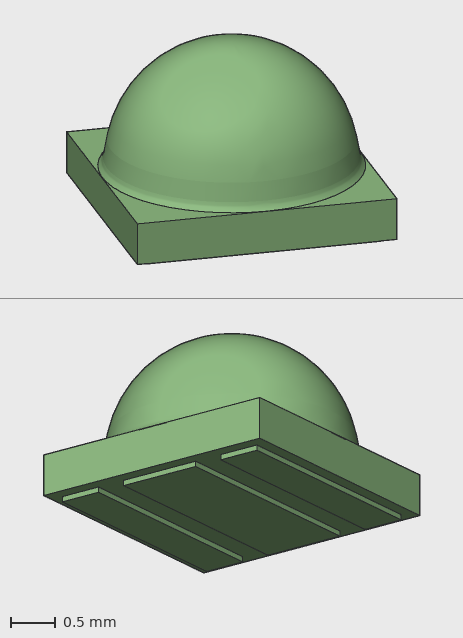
import cadquery as cq
import math

side = 3.0
total_height = 2.02

pad_thickness = 0.063
base_top = 0.55
pad_length = 2.7
pad_span = 2.7
outer_pad_width = 0.5
center_pad_width = 1.0

cap_bottom = 0.867
cap_bottom_radius = 1.395
cone_bottom = 0.65
foot_radius = 1.495

cap_height = total_height - cap_bottom
sphere_radius = (cap_bottom_radius**2 + cap_height**2) / (2 * cap_height)
sphere_center = total_height - sphere_radius

cone_slope = (cap_bottom - sphere_center) / cap_bottom_radius
cone_bottom_radius = cap_bottom_radius + cone_slope * (cap_bottom - cone_bottom)


def make_base():
    thickness = base_top - pad_thickness
    return cq.Workplane("XY", origin=(0, 0, pad_thickness)).rect(side, side).extrude(thickness)


def make_pad(center_x, width):
    return cq.Workplane("XY").center(center_x, 0).rect(width, pad_length).extrude(pad_thickness)


def make_lens():
    rim_angle = math.atan2(cap_bottom - sphere_center, cap_bottom_radius)
    middle_angle = (rim_angle + math.pi / 2) / 2
    arc_middle = (
        sphere_radius * math.cos(middle_angle),
        sphere_center + sphere_radius * math.sin(middle_angle),
    )
    profile = (
        cq.Workplane("XZ")
        .moveTo(0, base_top)
        .lineTo(0, total_height)
        .threePointArc(arc_middle, (cap_bottom_radius, cap_bottom))
        .lineTo(cone_bottom_radius, cone_bottom)
        .tangentArcPoint((foot_radius, base_top), relative=False)
        .close()
    )
    return profile.revolve(360, (0, 0, 0), (0, 1, 0))


outer_pad_offset = (pad_span - outer_pad_width) / 2
result = make_base().union(make_lens())
result = result.union(make_pad(0, center_pad_width))
for direction in (-1, 1):
    result = result.union(make_pad(direction * outer_pad_offset, outer_pad_width))